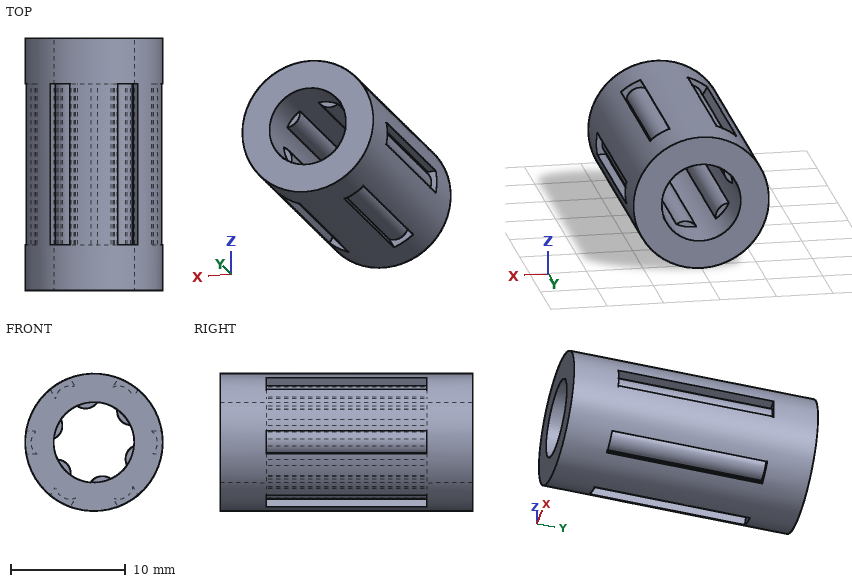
import cadquery as cq

length = 22.0
outer_radius = 6.0
bore_radius = 3.5

roller_count = 6
roller_length = 14.0
roller_radius = 1.25
bore_reach = 0.5
roller_orbit_radius = bore_radius - bore_reach + roller_radius

window_width = 2.0
window_start_angle = 0.0
lobe_start_angle = 40.0


def rod(radius, rod_length):
    """Solid rod along Y, centred on the origin."""
    return cq.Workplane("XZ").circle(radius).extrude(rod_length / 2, both=True)


def ring_of(body, start_angle):
    """Evenly spaced copies of a body around the Y axis."""
    pitch = 360.0 / roller_count
    copies = []
    for index in range(roller_count):
        angle = start_angle + index * pitch
        copies.append(body.rotate((0, 0, 0), (0, 1, 0), -angle))
    return copies


def make_sleeve():
    return rod(outer_radius, length).cut(rod(bore_radius, length))


def make_roller():
    """Roller on the +X side of the sleeve axis."""
    return rod(roller_radius, roller_length).translate((roller_orbit_radius, 0, 0))


def make_window():
    """Rectangular window through the outer surface, floored by the rounded top of a roller."""
    depth = outer_radius - roller_orbit_radius
    opening = cq.Workplane("XY").box(2 * depth, roller_length, window_width)
    return opening.translate((outer_radius, 0, 0)).cut(make_roller())


result = make_sleeve()

for window in ring_of(make_window(), window_start_angle):
    result = result.cut(window)

for lobe in ring_of(make_roller(), lobe_start_angle):
    result = result.union(lobe)